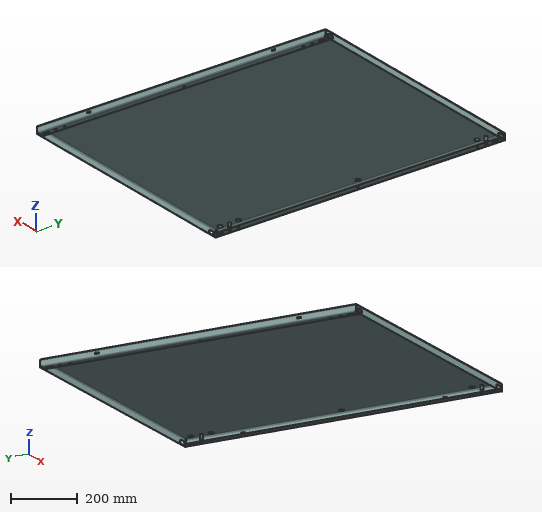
import cadquery as cq
width = 888.0
length = 1088.0
height = 26.0
sheet = 1.5
bend_radius = 4.0
inner_radius = bend_radius - sheet
lip_width = 26.0

corner_gap = 2.0
wall_gap = 0.5

row_inset = 15.0
access_diameter = 16.0
mount_y = 518.0
sleeve_y = 482.0
fixing_y = 448.0
mount_slot_length = 22.0
mount_slot_width = 9.0
fixing_diameter = 7.0

end_slot_length = 26.0
end_slot_height = 12.0
end_slot_inset = 23.0
end_slot_z = 9.0

side_slot_length = 13.0
side_slot_height = 4.0
side_slot_y = 347.0

sleeve_diameter = 11.0
sleeve_bore = 7.0
stem_diameter = 9.0
stem_top = 10.0

flat_width = width - 2 * bend_radius
flat_length = length - 2 * bend_radius
row_x = width / 2 - row_inset
cut_depth = 2 * sheet


def mirrored(x, y):
    """The four points that mirror (x, y) in both centre planes."""
    return [(side_x * x, side_y * y) for side_x in (-1, 1) for side_y in (-1, 1)]


mount_points = mirrored(row_x, mount_y)
sleeve_points = mirrored(row_x, sleeve_y)
fixing_points = mirrored(row_x, fixing_y) + [(-row_x, 0), (row_x, 0)]


def rounded_bar(bar_width, bar_height, radius):
    """A bar along Y, as long as the flat sheet, with its four long edges rounded."""
    return cq.Workplane("XY").box(bar_width, flat_length, bar_height).edges("|Y").fillet(radius)


def long_channel():
    """Top sheet with both X flanges and their inward bottom lips."""
    outer = rounded_bar(width, height, bend_radius)
    inner = rounded_bar(width - 2 * sheet, height - 2 * sheet, inner_radius)
    bottom_opening = (
        cq.Workplane("XY")
        .box(width - 2 * lip_width, length, height)
        .translate((0, 0, -sheet))
    )
    return outer.cut(inner).cut(bottom_opening).translate((0, 0, height / 2))


def long_wall():
    """Straight part of the -X flange, running on past its bends into the corners."""
    wall_length = length - 2 * (sheet + wall_gap)
    wall_height = height - 2 * bend_radius
    wall_x = (sheet - width) / 2
    return cq.Workplane("XY", origin=(wall_x, 0, height / 2)).box(sheet, wall_length, wall_height)


def end_flange():
    """The +Y flange: a bend as wide as the flat sheet above a wall that runs into the corners."""
    bend_y = flat_length / 2
    bend_z = height - bend_radius
    bend = (
        cq.Workplane("YZ")
        .moveTo(bend_y, height)
        .radiusArc((length / 2, bend_z), bend_radius)
        .lineTo(length / 2 - sheet, bend_z)
        .radiusArc((bend_y, height - sheet), -inner_radius)
        .close()
        .extrude(flat_width / 2, both=True)
    )
    wall_width = width - 2 * corner_gap
    wall = cq.Workplane("XY", origin=(0, (length - sheet) / 2, bend_z / 2)).box(wall_width, sheet, bend_z)
    return bend.union(wall)


def top_holes():
    """Round holes in the top sheet: access holes and seats for the sleeves."""
    plane = cq.Workplane("XY", origin=(0, 0, height - cut_depth))
    access = plane.pushPoints(mount_points + fixing_points).circle(access_diameter / 2).extrude(2 * cut_depth)
    seats = plane.pushPoints(sleeve_points).circle(sleeve_diameter / 2).extrude(2 * cut_depth)
    return access.union(seats)


def lip_holes():
    """Mounting slots and round fixing holes in the lips, below the access holes."""
    plane = cq.Workplane("XY")
    slots = plane.pushPoints(mount_points).slot2D(mount_slot_length, mount_slot_width, 90).extrude(cut_depth)
    fixings = plane.pushPoints(fixing_points).circle(fixing_diameter / 2).extrude(cut_depth)
    return slots.union(fixings)


def side_slots():
    """Two slots through each X flange."""
    return (
        cq.Workplane("YZ")
        .pushPoints([(-side_slot_y, height / 2), (side_slot_y, height / 2)])
        .slot2D(side_slot_length, side_slot_height)
        .extrude(width, both=True)
    )


def end_slots():
    """A slot near each end of both Y flanges."""
    slot_x = width / 2 - end_slot_inset
    slots = (
        cq.Workplane("XZ", origin=(0, length / 2, 0))
        .pushPoints([(-slot_x, end_slot_z), (slot_x, end_slot_z)])
        .slot2D(end_slot_length, end_slot_height)
        .extrude(cut_depth, both=True)
    )
    return slots.union(slots.mirror("XZ"))


def make_tray():
    wall = long_wall()
    flange = end_flange()
    tray = long_channel()
    tray = tray.union(wall).union(wall.mirror("YZ"))
    tray = tray.union(flange).union(flange.mirror("XZ"))
    return tray.cut(top_holes()).cut(lip_holes()).cut(side_slots()).cut(end_slots())


def make_sleeve(x, y):
    """A bored sleeve: a narrow stem on the lip and a wider head up through the top sheet."""
    stem_height = stem_top - sheet
    plane = cq.Workplane("XY", origin=(x, y, sheet))
    stem = plane.circle(stem_diameter / 2).extrude(stem_height)
    head = plane.workplane(offset=stem_height).circle(sleeve_diameter / 2).extrude(height - stem_top)
    bore = plane.circle(sleeve_bore / 2).extrude(height)
    return stem.union(head).cut(bore)


tray = make_tray()
sleeves = [make_sleeve(x, y) for x, y in sleeve_points]
result = cq.Compound.makeCompound([tray.solids().val(), *[sleeve.val() for sleeve in sleeves]])